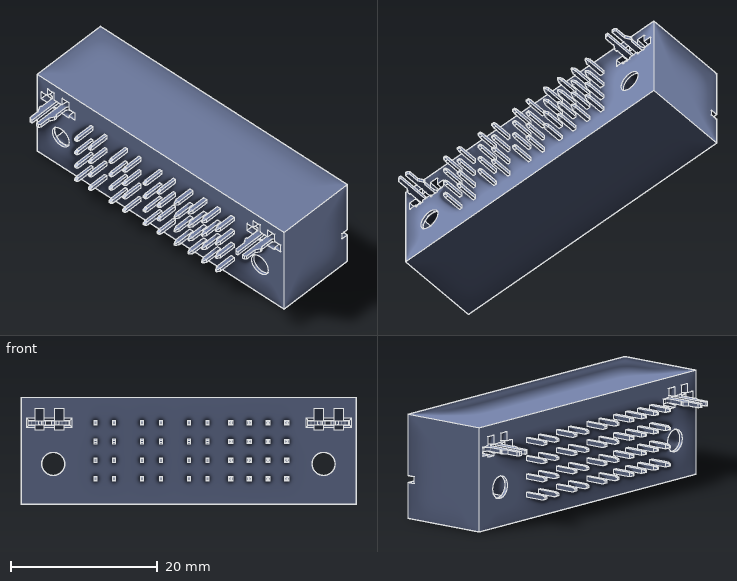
import cadquery as cq

length = 45.7
depth = 12.75
height = 14.6
total_depth = 17.4

layout_x = -0.05

hole_diameter = 3.1
hole_spacing = 36.85
hole_z = -1.8

square_bore_width = 3.2
round_bore_diameter = 3.95
front_wall = 0.45

pins_per_grid = 4
grid_span = 7.65
pin_pitch = grid_span / (pins_per_grid - 1)
pair_count = 3
pair_spacing = 6.35
first_pair_x = -11.45
square_start_x = 5.7
row_positions = [-grid_span / 2 + row * pin_pitch for row in range(pins_per_grid)]

flat_pin_width = 0.4
square_pin_width = 0.6
square_pin_height = 0.6
square_tip_width = 0.2
flat_pin_height = 0.65
pin_tip_height = 0.27
flat_pin_length = 3.3
square_pin_length = 3.4
flat_tip_length = 0.4
square_tip_length = 0.55

clip_spacing = 38.1
clip_z = grid_span / 2
clip_thickness = 0.55
clip_length = total_depth - depth
leg_inner = 0.4
leg_outer = 1.3
barb_outer = 1.4
leg_tip_outer = 1.0
barb_start = 1.75
barb_end = 2.1
leg_narrow_start = 2.8
tip_chamfer = 0.25
clip_width = 5.6
bar_front = 0.7
bar_end_radius = 0.45
root_radius = 0.55

opening_depth = 2.75
opening_offset = 0.1
mouth_width = 6.2
mouth_height = 1.3
opening_floor_width = 5.65
opening_floor_height = 0.7
slot_width = 1.3
slot_spacing = 2.7
slot_height = 2.9
slot_z = 4.3

groove_height = 0.95
groove_depth = 0.25
end_notch_depth = 1.1


def make_housing():
    return cq.Workplane("XY").box(length, depth, height).translate((0, depth / 2, 0))


def make_mounting_holes():
    left = (layout_x - hole_spacing / 2, hole_z)
    right = (layout_x + hole_spacing / 2, hole_z)
    holes = cq.Workplane("XZ").pushPoints([left, right]).circle(hole_diameter / 2).extrude(-depth)
    wall_back = cq.Workplane("XZ", origin=(0, front_wall, 0))
    bore_length = depth - front_wall
    square_bore = wall_back.center(*left).rect(square_bore_width, square_bore_width).extrude(-bore_length)
    round_bore = wall_back.center(*right).circle(round_bore_diameter / 2).extrude(-bore_length)
    return holes.union(square_bore).union(round_bore)


def make_back_groove():
    groove = cq.Workplane("XY").box(length, groove_depth, groove_height)
    groove = groove.translate((0, depth - groove_depth / 2, hole_z))
    for side in (-1, 1):
        hole_x = layout_x + side * hole_spacing / 2
        end_x = side * length / 2
        notch = cq.Workplane("XY").box(abs(end_x - hole_x), end_notch_depth, groove_height)
        groove = groove.union(notch.translate(((end_x + hole_x) / 2, depth - end_notch_depth / 2, hole_z)))
    return groove


def make_pin(width, pin_height, tip_width, total_length, tip_length):
    shank_length = total_length - tip_length
    shank = cq.Workplane("XZ").rect(width, pin_height).extrude(shank_length)
    tip = (
        cq.Workplane("XZ", origin=(0, -shank_length, 0))
        .rect(width, pin_height)
        .workplane(offset=tip_length)
        .rect(tip_width, pin_tip_height)
        .loft(ruled=True)
    )
    return shank.union(tip)


def add_pin_columns(body, pin, columns):
    for x in columns:
        for z in row_positions:
            body = body.union(pin.translate((x, 0, z)))
    return body


def make_clip_opening(clip_x):
    funnel = (
        cq.Workplane("XZ", origin=(clip_x + opening_offset, 0, clip_z))
        .rect(mouth_width, mouth_height)
        .workplane(offset=-opening_depth)
        .rect(opening_floor_width, opening_floor_height)
        .loft(ruled=True)
    )
    slots = (
        cq.Workplane("XZ", origin=(clip_x + opening_offset, 0, slot_z))
        .rarray(slot_spacing, 0.45, 2, 1)
        .rect(slot_width, slot_height)
        .extrude(-opening_depth)
    )
    return funnel.union(slots)


def make_clip(clip_x):
    bar_end = clip_width / 2
    half = (
        cq.Workplane("XY")
        .moveTo(0, opening_depth)
        .lineTo(bar_end, opening_depth)
        .lineTo(bar_end, bar_front + bar_end_radius)
        .radiusArc((bar_end - bar_end_radius, bar_front), bar_end_radius)
        .lineTo(leg_outer + root_radius, bar_front)
        .radiusArc((leg_outer, bar_front - root_radius), -root_radius)
        .lineTo(leg_outer, -barb_start)
        .lineTo(barb_outer, -barb_start)
        .lineTo(barb_outer, -barb_end)
        .lineTo(leg_tip_outer, -leg_narrow_start)
        .lineTo(leg_tip_outer, tip_chamfer - clip_length)
        .lineTo(leg_tip_outer - tip_chamfer, -clip_length)
        .lineTo(leg_inner, -clip_length)
        .lineTo(leg_inner, bar_front)
        .radiusArc((0, bar_front + leg_inner), -leg_inner)
        .close()
        .extrude(clip_thickness / 2, both=True)
    )
    clip = half.union(half.mirror("YZ"))
    return clip.translate((clip_x, 0, clip_z))


body = make_housing().cut(make_mounting_holes()).cut(make_back_groove())

for side in (-1, 1):
    clip_x = layout_x + side * clip_spacing / 2
    body = body.cut(make_clip_opening(clip_x)).union(make_clip(clip_x))

flat_columns = []
for pair in range(pair_count):
    pair_x = first_pair_x + pair * pair_spacing
    flat_columns += [pair_x - pin_pitch / 2, pair_x + pin_pitch / 2]
square_columns = [square_start_x + column * pin_pitch for column in range(pins_per_grid)]

flat_pin = make_pin(flat_pin_width, flat_pin_height, flat_pin_width, flat_pin_length, flat_tip_length)
square_pin = make_pin(
    square_pin_width, square_pin_height, square_tip_width, square_pin_length, square_tip_length
)
body = add_pin_columns(body, flat_pin, flat_columns)
body = add_pin_columns(body, square_pin, square_columns)

result = body